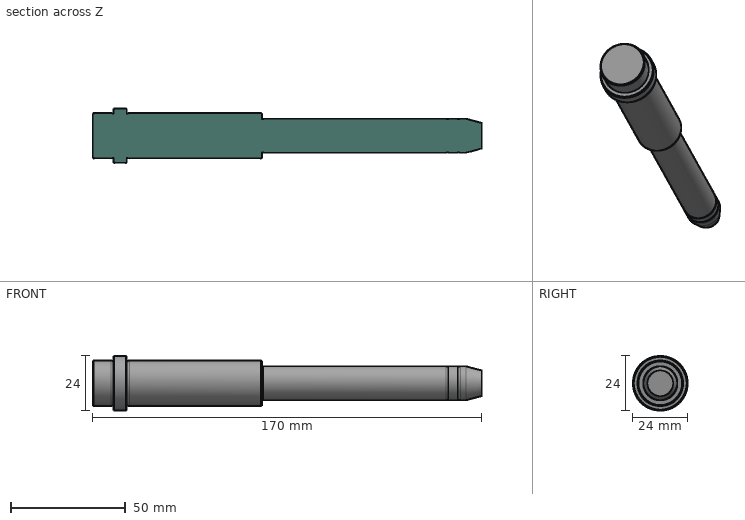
import cadquery as cq
import math

total_length = 170.0
collar_start = 9.0
collar_width = 6.0
shoulder_x = 74.0
land_start = 155.25
land_width = 4.25
tip_length = 7.0

body_radius = 20.0 / 2
collar_radius = 24.0 / 2
shank_radius = 15.0 / 2

edge_chamfer = 0.5
relief_length = 1.0
relief_depth = 0.25
shoulder_relief_length = 0.5
tip_half_angle = 15.0

collar_end = collar_start + collar_width
land_end = land_start + land_width
tip_radius = shank_radius - tip_length * math.tan(math.radians(tip_half_angle))


def cylinder(start, end, radius):
    """Solid cylinder along X between two stations."""
    return cq.Workplane("YZ", origin=(start, 0, 0)).circle(radius).extrude(end - start)


def tapered_relief(wall_x, outer_x, radius):
    """Ring that cuts a taper: full depth at wall_x, running out to the surface at outer_x."""
    return (
        cq.Workplane("XY")
        .moveTo(wall_x, radius)
        .lineTo(wall_x, radius - relief_depth)
        .lineTo(outer_x, radius)
        .close()
        .revolve(360, (0, 0, 0), (1, 0, 0))
    )


def make_body():
    """Thick cylinder, chamfered at the flat end and at the shoulder."""
    body = cylinder(0, shoulder_x, body_radius)
    return body.edges("%CIRCLE").chamfer(edge_chamfer)


def make_collar():
    """Retaining collar, chamfered on both rims."""
    return cylinder(collar_start, collar_end, collar_radius).edges("%CIRCLE").chamfer(edge_chamfer)


def make_shank():
    """Slim shank ending in a conical lead-in tip."""
    tip_start = total_length - tip_length
    return (
        cq.Workplane("XY")
        .moveTo(0, 0)
        .lineTo(0, shank_radius)
        .lineTo(tip_start, shank_radius)
        .lineTo(total_length, tip_radius)
        .lineTo(total_length, 0)
        .close()
        .revolve(360, (0, 0, 0), (1, 0, 0))
    )


result = make_body().union(make_shank())

reliefs = [
    (collar_start, collar_start - relief_length, body_radius),
    (collar_end, collar_end + relief_length, body_radius),
    (land_start, land_start - relief_length, shank_radius),
    (land_end, land_end + relief_length, shank_radius),
    (shoulder_x, shoulder_x + shoulder_relief_length, shank_radius),
]
for wall_x, outer_x, radius in reliefs:
    result = result.cut(tapered_relief(wall_x, outer_x, radius))

result = result.union(make_collar())